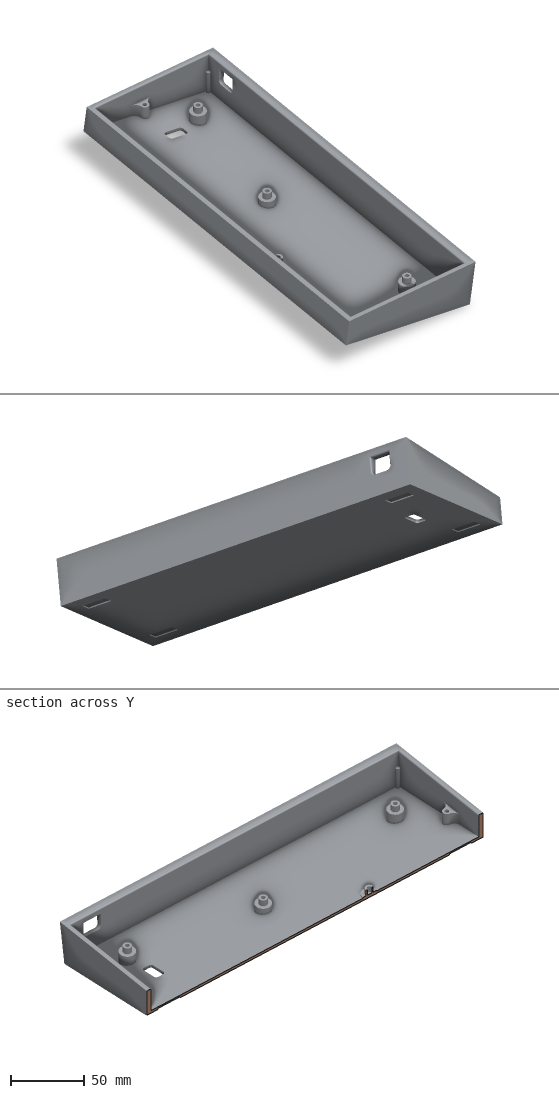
import cadquery as cq
import math

length = 295.5
depth = 110.8
height = 34.5
tilt = 8.0

slope = math.tan(math.radians(tilt))
rear_lean = height * slope
front_edge_z = (depth - rear_lean) * slope
front_lean = (height - front_edge_z) * slope

rim_radius = 1.0
rim_width = 3.0
side_wall = rim_width + rim_radius
cavity_length = length - 2 * side_wall
cavity_front = 7.0
cavity_rear = 104.0
floor_rise = 2.6

pillar_diameter = 12.0
pillar_top = 15.7
pin_diameter = 6.5
pin_top = 20.7
pin_hole_diameter = 3.2
pillar_places = [(-117.5, 75.0), (-14.2, 55.5), (117.5, 75.0), (48.2, 17.7)]

lug_y = 46.0
lug_reach = 4.5
lug_radius = 3.2
lug_hole_diameter = 3.2
lug_top = 21.3
lug_hole_depth = 4.0
flare_radius = 5.3

post_diameter = 3.2
post_inset = 1.2
post_top = 20.7

port_x = -124.7
port_width = 15.5
port_bottom = 16.5
port_top = 29.5
port_radius = 3.0
port_edge_radius = 1.0
port_length = 17.7

slot_x = -112.8
slot_y = 52.5
slot_width = 8.3
slot_length = 15.5
slot_radius = 2.0

foot_x = 128.0
foot_length = 19.0
foot_width = 7.0
foot_depth = 1.0
foot_inset = 14.8


def underside_z(y):
    """Height of the sloping underside at y."""
    return front_edge_z - y * slope


def along_x(points, width):
    """Prism centred on X with the given (y, z) outline."""
    return cq.Workplane("YZ").polyline(points).close().extrude(width / 2, both=True)


def upright(radius, bottom, top):
    """Round bar on the Z axis."""
    return cq.Workplane("XY").workplane(offset=bottom).circle(radius).extrude(top - bottom)


def make_tray():
    body = along_x(
        [
            (0, front_edge_z),
            (front_lean, height),
            (depth, height),
            (depth - rear_lean, 0),
        ],
        length,
    )
    opening = cq.selectors.BoxSelector(
        (-length / 2 + rim_width, cavity_front - rim_radius, height - rim_radius),
        (length / 2 - rim_width, cavity_rear + rim_radius, height + rim_radius),
    )
    return body.cut(make_cavity()).edges(opening).fillet(rim_radius)


def make_cavity():
    return along_x(
        [
            (cavity_front, underside_z(cavity_front) + floor_rise),
            (cavity_front, height),
            (cavity_rear, height),
            (cavity_rear, underside_z(cavity_rear) + floor_rise),
        ],
        cavity_length,
    )


def make_pillar():
    pillar = upright(pillar_diameter / 2, 0, pillar_top)
    pin = upright(pin_diameter / 2, 0, pin_top)
    return pillar.union(pin).cut(upright(pin_hole_diameter / 2, pillar_top, pin_top))


def make_lug():
    """Lug standing on a wall at x = 0 and reaching toward +X."""
    centre_gap = lug_radius + flare_radius
    flare_y = math.sqrt(centre_gap**2 - (lug_reach - flare_radius) ** 2)
    touch_x = flare_radius + (lug_reach - flare_radius) * flare_radius / centre_gap
    touch_y = flare_y * lug_radius / centre_gap
    body = (
        cq.Workplane("XY")
        .moveTo(0, -flare_y)
        .radiusArc((touch_x, -touch_y), flare_radius)
        .threePointArc((lug_reach + lug_radius, 0), (touch_x, touch_y))
        .radiusArc((0, flare_y), flare_radius)
        .lineTo(-side_wall / 2, flare_y)
        .lineTo(-side_wall / 2, -flare_y)
        .close()
        .extrude(lug_top)
    )
    hole = upright(lug_hole_diameter / 2, lug_top - lug_hole_depth, lug_top)
    return body.cut(hole.translate((lug_reach, 0, 0)))


def add_fittings(tray):
    """Add pillars, lugs and posts, trimmed where they would pass below the floor."""
    wall_x = length / 2 - side_wall
    pillar = make_pillar()
    lug = make_lug().translate((-wall_x, lug_y, 0))
    post = upright(post_diameter / 2, 0, post_top).translate((post_inset - wall_x, cavity_rear - post_inset, 0))
    fittings = [pillar.translate((x, y, 0)) for x, y in pillar_places]
    for fitting in (lug, post):
        fittings += [fitting, fitting.mirror("YZ")]
    cavity = make_cavity()
    for fitting in fittings:
        tray = tray.union(fitting.intersect(cavity))
    return tray


def cut_port(case):
    """Cut the cable opening square to the leaning rear wall and round its outer mouth."""
    port = (
        cq.Workplane("XY")
        .box(port_width, port_length, port_top - port_bottom, centered=(True, True, False))
        .edges("|Y and <Z")
        .fillet(port_radius)
        .rotate((0, 0, 0), (1, 0, 0), -tilt)
        .translate((port_x, cavity_rear, port_bottom))
    )
    mouth = cq.selectors.BoxSelector(
        (port_x - port_width, (cavity_rear + depth) / 2, port_bottom - port_radius),
        (port_x + port_width, depth, port_top + port_radius),
    )
    return case.cut(port).edges(mouth).fillet(port_edge_radius)


def make_slot():
    return (
        cq.Workplane("XY")
        .rect(slot_width, slot_length)
        .extrude(height)
        .edges("|Z")
        .fillet(slot_radius)
        .translate((slot_x, slot_y, 0))
    )


def make_feet():
    underside_length = (depth - rear_lean) / math.cos(math.radians(tilt))
    feet = cq.Workplane("XY")
    for x in (-foot_x, foot_x):
        for y in (foot_inset, underside_length - foot_inset):
            foot = cq.Workplane("XY").box(foot_length, foot_width, 2 * foot_depth)
            feet = feet.add(foot.translate((x, y, 0)))
    return feet.combine().rotate((0, 0, 0), (1, 0, 0), -tilt).translate((0, 0, front_edge_z))


case = add_fittings(make_tray())
result = cut_port(case).cut(make_slot()).cut(make_feet())